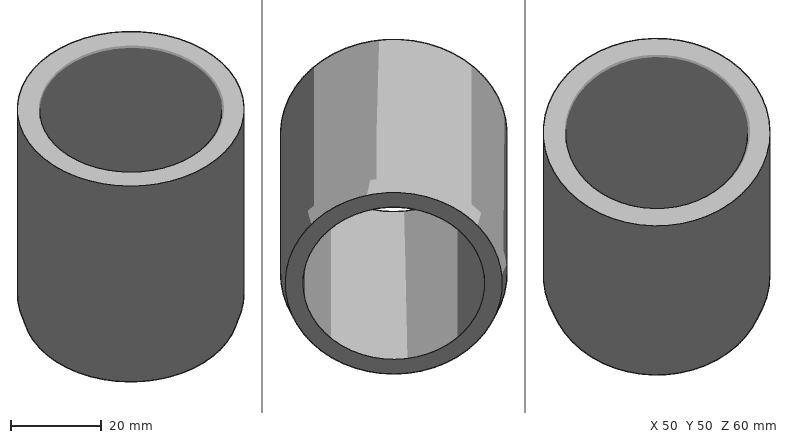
import cadquery as cq

length = 60.0
outer_diameter = 50.0
bore_diameter = 40.0

taper_height = 4.0
taper_depth = 1.1

bore_rounding = 0.8

outer_radius = outer_diameter / 2
bore_radius = bore_diameter / 2

wall_section = (
    cq.Workplane("XZ")
    .moveTo(bore_radius, 0)
    .lineTo(outer_radius - taper_depth, 0)
    .lineTo(outer_radius, taper_height)
    .lineTo(outer_radius, length)
    .lineTo(bore_radius + bore_rounding, length)
    .radiusArc((bore_radius, length - bore_rounding), -bore_rounding)
    .close()
)

result = wall_section.revolve(360, (0, 0, 0), (0, 1, 0))